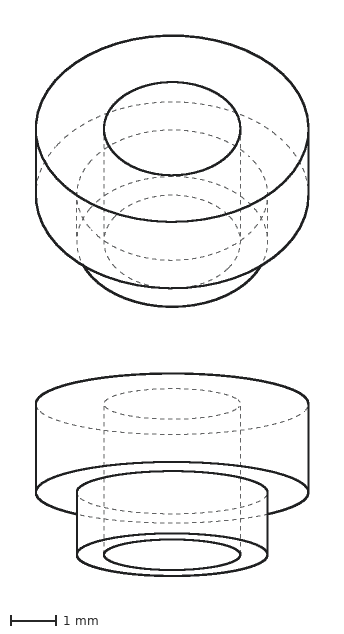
import cadquery as cq

head_diameter = 6.0
spigot_diameter = 4.2
bore_diameter = 3.0
total_height = 3.4
spigot_height = 1.405
head_height = total_height - spigot_height

spigot = cq.Workplane("XY").circle(spigot_diameter / 2).extrude(spigot_height)

head = (
    cq.Workplane("XY")
    .workplane(offset=spigot_height)
    .circle(head_diameter / 2)
    .extrude(head_height)
)

bore = cq.Workplane("XY").circle(bore_diameter / 2).extrude(total_height)

result = spigot.union(head).cut(bore)